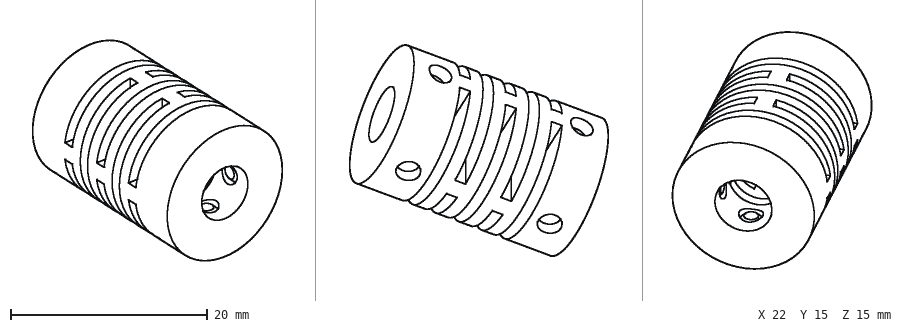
import cadquery as cq
import math

length = 22.0
outer_diameter = 15.0
bore_diameter = 6.0

slot_width = 1.19
slot_pitch = 2.6
slot_count = 5
web_thickness = 1.98

screw_hole_diameter = 2.5
screw_hole_offset = 8.0
screw_length = 3.0
screw_tip_diameter = 1.5
screw_chamfer_angle = 45.0
cup_slope_angle = 30.0

outer_radius = outer_diameter / 2
bore_radius = bore_diameter / 2


def make_body():
    """Bored cylinder centred on the origin."""
    rings = cq.Workplane("YZ").circle(outer_radius).circle(bore_radius)
    return rings.extrude(length / 2, both=True)


def make_slot_pair(x, roll):
    """Two opposed cuts at x that leave a flat web, rolled about the X axis."""
    depth = outer_radius - web_thickness / 2
    centre_height = (outer_radius + web_thickness / 2) / 2
    block = cq.Workplane("XY").box(slot_width, outer_diameter, depth)
    pair = block.translate((x, 0, centre_height)).union(block.translate((x, 0, -centre_height)))
    return pair.rotate((0, 0, 0), (1, 0, 0), roll)


def make_screw_hole(x):
    """Radial hole at x, from the bore axis out through the -Z wall."""
    drill = cq.Workplane("XY").center(x, 0).circle(screw_hole_diameter / 2)
    return drill.extrude(-outer_radius)


def make_set_screw(x):
    """Cup-point set screw at x that fills the -Z hole, with its tip level with the bore wall."""
    radius = screw_hole_diameter / 2
    tip_radius = screw_tip_diameter / 2
    chamfer_height = (radius - tip_radius) * math.tan(math.radians(screw_chamfer_angle))
    cup_depth = tip_radius * math.tan(math.radians(cup_slope_angle))
    tip_z = -bore_radius
    half_profile = (
        cq.Workplane("XZ")
        .moveTo(0, tip_z - cup_depth)
        .lineTo(tip_radius, tip_z)
        .lineTo(radius, tip_z - chamfer_height)
        .lineTo(radius, tip_z - screw_length)
        .lineTo(0, tip_z - screw_length)
        .close()
    )
    return half_profile.revolve(360, (0, 0, 0), (0, 1, 0)).translate((x, 0, 0))


result = make_body()

for index in range(slot_count):
    slot_x = (index - (slot_count - 1) / 2) * slot_pitch
    slot_roll = 90 * (index % 2)
    result = result.cut(make_slot_pair(slot_x, slot_roll))

for screw_x in (-screw_hole_offset, screw_hole_offset):
    for screw_roll in (0, 90):
        hole = make_screw_hole(screw_x).rotate((0, 0, 0), (1, 0, 0), screw_roll)
        screw = make_set_screw(screw_x).rotate((0, 0, 0), (1, 0, 0), screw_roll)
        result = result.cut(hole).union(screw)